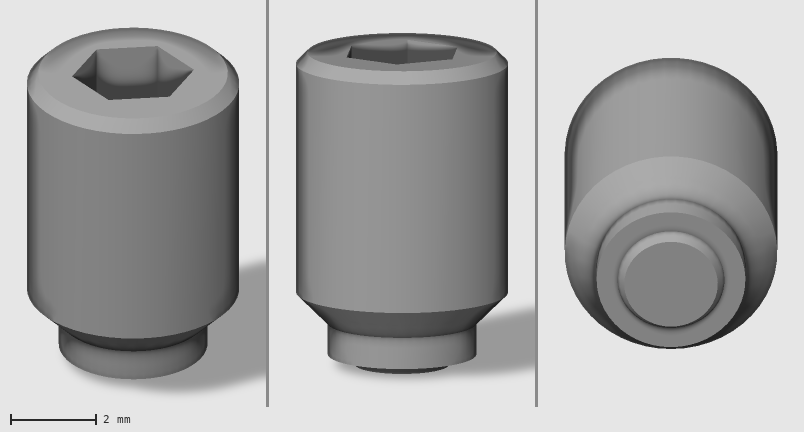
import cadquery as cq
import math

overall_length = 7.5
screw_diameter = 5.0
top_chamfer = 0.27
neck_diameter = 3.5
neck_length = 0.75
cone_height = (screw_diameter - neck_diameter) / 2

hex_sides = 6
hex_across_flats = 2.5
hex_across_corners = hex_across_flats / math.cos(math.pi / hex_sides)
socket_depth = 2.5
drill_point_angle = 120.0
drill_radius = hex_across_corners / 2
drill_point_depth = drill_radius / math.tan(math.radians(drill_point_angle / 2))

ball_radius = 1.4
ball_flat_radius = 1.1
ball_protrusion = 0.25
ball_center_z = math.sqrt(ball_radius**2 - ball_flat_radius**2)


def revolve_about_z(profile):
    """Full turn of an XZ half-profile around the Z axis."""
    return profile.revolve(360, (0, 0, 0), (0, 1, 0))


def make_ball():
    """Sphere cut off flat at Z = 0."""
    profile = (
        cq.Workplane("XZ")
        .moveTo(0, 0)
        .lineTo(ball_flat_radius, 0)
        .threePointArc((ball_radius, ball_center_z), (0, ball_center_z + ball_radius))
        .close()
    )
    return revolve_about_z(profile)


def make_screw_blank():
    """Turned outside shape: neck, taper, shank and top chamfer."""
    screw_radius = screw_diameter / 2
    neck_radius = neck_diameter / 2
    neck_top_z = ball_protrusion + neck_length
    profile = (
        cq.Workplane("XZ")
        .moveTo(0, ball_protrusion)
        .lineTo(neck_radius, ball_protrusion)
        .lineTo(neck_radius, neck_top_z)
        .lineTo(screw_radius, neck_top_z + cone_height)
        .lineTo(screw_radius, overall_length - top_chamfer)
        .lineTo(screw_radius - top_chamfer, overall_length)
        .lineTo(0, overall_length)
        .close()
    )
    return revolve_about_z(profile)


def make_socket_cutter():
    """Hexagonal prism with two corners on the X axis, pointed by a cone at its lower end."""
    floor_z = overall_length - socket_depth
    prism = (
        cq.Workplane("XY")
        .workplane(offset=floor_z - drill_point_depth)
        .polygon(hex_sides, hex_across_corners)
        .extrude(socket_depth + drill_point_depth)
    )
    drill_profile = (
        cq.Workplane("XZ")
        .moveTo(0, floor_z - drill_point_depth)
        .lineTo(drill_radius, floor_z)
        .lineTo(drill_radius, overall_length)
        .lineTo(0, overall_length)
        .close()
    )
    return prism.intersect(revolve_about_z(drill_profile))


ball = make_ball()
screw = make_screw_blank().cut(make_socket_cutter()).cut(ball)

result = cq.Compound.makeCompound([screw.solids().val(), ball.val()])